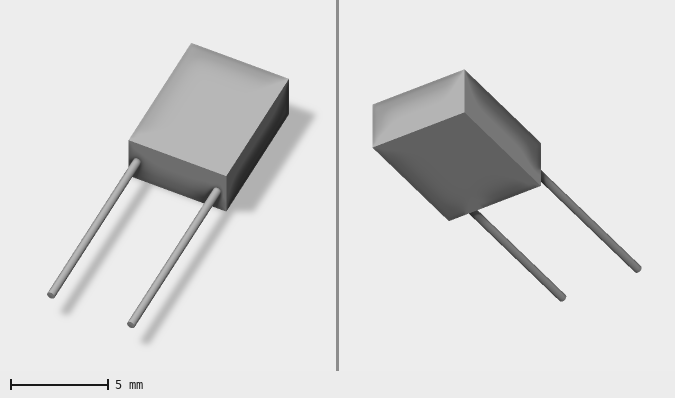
import cadquery as cq

CASE_WIDTH = 5.6
CASE_HEIGHT = 2.79
TOTAL_LENGTH = 17.53
LEAD_LENGTH = 10.17
CASE_LENGTH = TOTAL_LENGTH - LEAD_LENGTH

LEAD_DIAMETER = 0.44
LEAD_SPACING = 4.58


def make_case():
    """Rectangular case reaching back from y = 0 and centred in X and Z."""
    return cq.Workplane("XY").box(
        CASE_WIDTH, CASE_LENGTH, CASE_HEIGHT, centered=(True, False, True)
    )


def make_lead(x):
    """Round wire that starts on the front face of the case and points to -Y."""
    return cq.Workplane("XZ").center(x, 0).circle(LEAD_DIAMETER / 2).extrude(LEAD_LENGTH)


case = make_case()
leads = [make_lead(side * LEAD_SPACING / 2) for side in (-1, 1)]

result = cq.Compound.makeCompound([case.val(), *[lead.val() for lead in leads]])